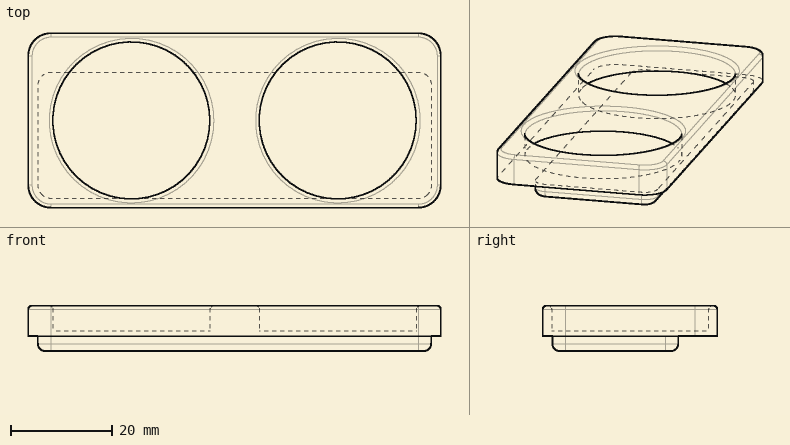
import cadquery as cq

plate_length = 81.5
plate_width = 34.5
plate_height = 6.0
plate_corner_radius = 4.5
top_edge_radius = 0.75

foot_height = 3.0
foot_inset = 1.9
foot_width = 24.9
foot_edge_radius = 1.5
foot_length = plate_length - 2 * foot_inset
foot_corner_radius = plate_corner_radius - foot_inset
foot_center_y = -plate_width / 2 + foot_inset + foot_width / 2

pocket_diameter = 31.0
pocket_depth = 5.0
pocket_offset = plate_length / 4

total_height = foot_height + plate_height


def rounded_block(length, width, height, corner_radius):
    """Block standing on Z = 0 with rounded vertical edges."""
    block = cq.Workplane("XY").box(length, width, height, centered=(True, True, False))
    return block.edges("|Z").fillet(corner_radius)


def make_foot():
    foot = rounded_block(foot_length, foot_width, foot_height, foot_corner_radius)
    foot = foot.faces("<Z").edges().fillet(foot_edge_radius)
    return foot.translate((0, foot_center_y, 0))


def make_plate():
    """Plate with its pockets; the outer rim and pocket rims share one edge radius."""
    plate = rounded_block(plate_length, plate_width, plate_height, plate_corner_radius)
    for center_x in (-pocket_offset, pocket_offset):
        pocket = (
            cq.Workplane("XY", origin=(center_x, 0, plate_height))
            .circle(pocket_diameter / 2)
            .extrude(-pocket_depth)
        )
        plate = plate.cut(pocket)
    plate = plate.faces(">Z").edges().fillet(top_edge_radius)
    return plate.translate((0, 0, total_height - plate_height))


result = make_plate().union(make_foot())